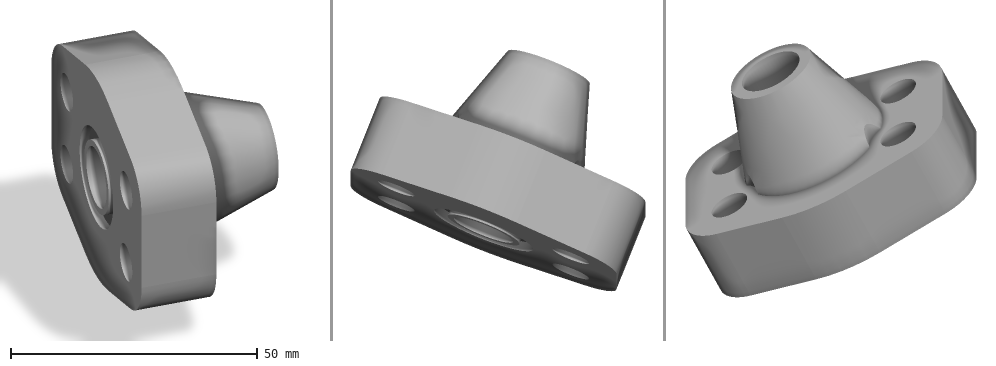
import cadquery as cq
import math

length = 58.0
height = 48.0
plate_thickness = 16.0
total_depth = 36.0
hole_spacing_x = 38.1
hole_spacing_z = 17.5
hole_diameter = 8.0
spotface_diameter = 12.95

neck_base_diameter = 31.2
neck_end_diameter = 18.0
bore_diameter = 13.0
groove_outer_diameter = 21.6
groove_inner_diameter = 15.65
groove_depth = 2.0

hole_x = hole_spacing_x / 2
hole_z = hole_spacing_z / 2
crown_radius = height / 2
corner_radius = length / 2 - hole_x
neck_length = total_depth - plate_thickness

hole_centers = [(sx * hole_x, sz * hole_z) for sx in (-1, 1) for sz in (-1, 1)]


def cylinder(diameter, start_y, depth, centers=((0, 0),)):
    """Cylinders along +Y, starting at start_y."""
    plane = cq.Workplane("XZ", origin=(0, start_y, 0))
    return plane.pushPoints(centers).circle(diameter / 2).extrude(-depth)


def make_plate():
    center_distance = math.hypot(hole_x, hole_z)
    center_angle = math.atan2(hole_z, hole_x)
    normal = center_angle + math.acos((crown_radius - corner_radius) / center_distance)
    middle = normal / 2

    crown_x = crown_radius * math.cos(normal)
    crown_z = crown_radius * math.sin(normal)

    def corner_point(angle):
        return hole_x + corner_radius * math.cos(angle), hole_z + corner_radius * math.sin(angle)

    side_x, side_z = corner_point(0)
    mid_x, mid_z = corner_point(middle)
    end_x, end_z = corner_point(normal)

    return (
        cq.Workplane("XZ")
        .moveTo(side_x, -side_z)
        .lineTo(side_x, side_z)
        .threePointArc((mid_x, mid_z), (end_x, end_z))
        .lineTo(crown_x, crown_z)
        .threePointArc((0, crown_radius), (-crown_x, crown_z))
        .lineTo(-end_x, end_z)
        .threePointArc((-mid_x, mid_z), (-side_x, side_z))
        .lineTo(-side_x, -side_z)
        .threePointArc((-mid_x, -mid_z), (-end_x, -end_z))
        .lineTo(-crown_x, -crown_z)
        .threePointArc((0, -crown_radius), (crown_x, -crown_z))
        .lineTo(end_x, -end_z)
        .threePointArc((mid_x, -mid_z), (side_x, -side_z))
        .close()
        .extrude(-plate_thickness)
    )


def make_neck():
    cone = cq.Solid.makeCone(
        neck_base_diameter / 2,
        neck_end_diameter / 2,
        neck_length,
        pnt=cq.Vector(0, plate_thickness, 0),
        dir=cq.Vector(0, 1, 0),
    )
    clearance = cylinder(spotface_diameter, plate_thickness, neck_length, hole_centers)
    return cq.Workplane(cone).cut(clearance)


def make_groove():
    outer = cylinder(groove_outer_diameter, 0, groove_depth)
    return outer.cut(cylinder(groove_inner_diameter, 0, groove_depth))


result = make_plate().union(make_neck())
result = result.cut(cylinder(hole_diameter, 0, plate_thickness, hole_centers))
result = result.cut(cylinder(bore_diameter, 0, total_depth))
result = result.cut(make_groove())